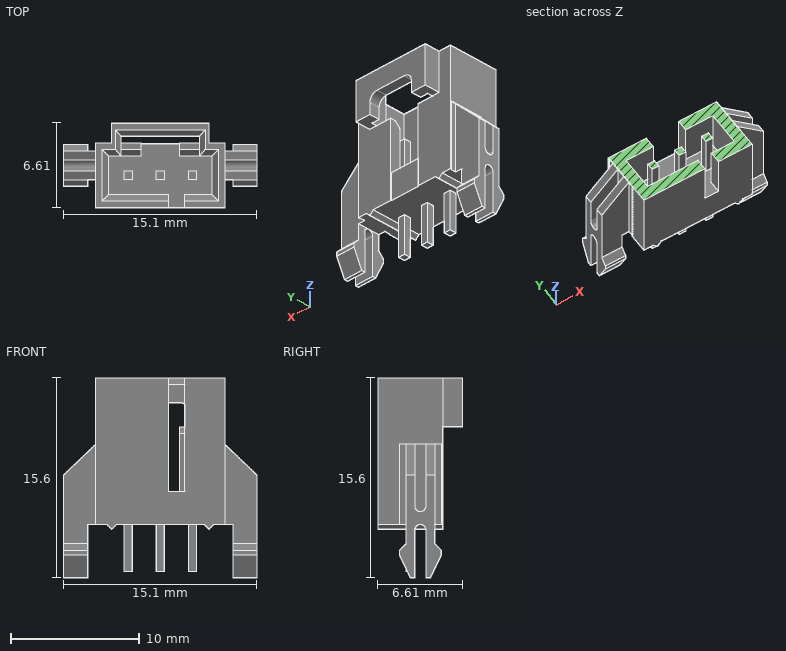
import cadquery as cq


body_width = 10.14
body_depth = 5.08
body_height = 11.45
wall = 1.03
rim_chamfer = 0.52
floor_top = 2.6
body_front = -2.53
body_back = body_front + body_depth
cavity_width = body_width - 2 * wall
cavity_front = body_front + wall
cavity_back = body_back - wall

hood_width = 7.62
hood_side_wall = 0.75
hood_side_bevel = 0.45
hood_overhang = 1.53
hood_bottom = 7.62
hood_back = body_back + hood_overhang
hood_inner_width = hood_width - 2 * hood_side_wall
hood_inner_back = hood_back - wall
window_width = 4.56
window_top = 9.51
window_radius = 0.78

front_slot_left = 0.65
front_slot_width = 1.25
back_slot_width = 3.0

recess_depth = 0.06

pin_count = 3
pin_pitch = 2.51
pin_size = 0.65
pin_bottom = -3.67
pin_top = 7.03

ridge_spacing = 7.59
ridge_height = 0.37

overall_width = 15.14
overall_height = 15.62
clip_center_y = 0.78
clip_thickness = 2.25
clip_top = 6.31
clip_shoulder = 3.86
clip_bottom = body_height - overall_height
clip_gap = 0.86
upper_gap_bottom = 1.02
leg_width = 1.9
barb_half_width = 1.64
barb_tip_half_width = 0.78
barb_start = -1.48
barb_shoulder = -2.01
barb_taper_start = -2.39


def block(x_min, x_max, y_min, y_max, z_min, z_max):
    """Box given by its limits along each axis."""
    return cq.Workplane("XY").box(
        x_max - x_min, y_max - y_min, z_max - z_min, centered=False
    ).translate((x_min, y_min, z_min))


def centered_block(width, y_min, y_max, z_min, z_max):
    """Box that is symmetric about X = 0."""
    return block(-width / 2, width / 2, y_min, y_max, z_min, z_max)


def rim_bevel(width, y_min, y_max, side_bevel):
    """Funnel that widens a rectangular opening towards the top rim."""
    center_y = (y_min + y_max) / 2
    depth = y_max - y_min
    return (
        cq.Workplane("XY", origin=(0, center_y, body_height - rim_chamfer))
        .rect(width, depth)
        .workplane(offset=rim_chamfer)
        .rect(width + 2 * side_bevel, depth + 2 * rim_chamfer)
        .loft(ruled=True)
    )


def make_shell():
    shell = centered_block(body_width, body_front, body_back, 0, body_height)
    hood = centered_block(hood_width, 0, hood_back, hood_bottom, body_height)
    return shell.union(hood)


def make_openings():
    cavity = centered_block(cavity_width, cavity_front, cavity_back, floor_top, body_height)
    cavity_bevel = rim_bevel(cavity_width, cavity_front, cavity_back, rim_chamfer)
    hood_cavity = centered_block(hood_inner_width, 0, hood_inner_back, hood_bottom, body_height)
    hood_bevel = rim_bevel(hood_inner_width, 0, hood_inner_back, hood_side_bevel)
    back_slot = centered_block(back_slot_width, 0, body_back, floor_top, body_height)
    front_slot = block(
        front_slot_left, front_slot_left + front_slot_width, body_front, 0, floor_top, body_height
    )
    openings = cavity.union(cavity_bevel).union(hood_cavity).union(hood_bevel)
    return openings.union(back_slot).union(front_slot).union(make_window())


def make_window():
    """Opening in the hood's back wall, rounded at its upper corners."""
    window = centered_block(window_width, hood_inner_back, hood_back, hood_bottom, window_top)
    return window.edges("|Y and >Z").fillet(window_radius)


def make_sill_bevel():
    """Cutter for the inner bevel on the back wall edges below the hood."""
    return (
        cq.Workplane("YZ")
        .moveTo(cavity_back, hood_bottom - rim_chamfer)
        .lineTo(cavity_back, hood_bottom)
        .lineTo(cavity_back + rim_chamfer, hood_bottom)
        .close()
        .extrude(hood_inner_width / 2, both=True)
    )


def make_back_recess():
    """Shallow recess in the back face, in line with the back slot."""
    return centered_block(back_slot_width, body_back - recess_depth, body_back, 0, hood_bottom)


def make_clip_recess():
    """Shallow recess around the root of the clip on the +X end."""
    return block(
        body_width / 2 - recess_depth,
        body_width / 2,
        clip_center_y - barb_half_width,
        clip_center_y + barb_half_width,
        0,
        clip_top,
    )


def make_ridge(center_x):
    return (
        cq.Workplane("XZ", origin=(center_x, body_back, 0))
        .polyline([(-ridge_height, 0), (0, -ridge_height), (ridge_height, 0)])
        .close()
        .extrude(body_depth)
    )


def make_pin(center_x):
    half = pin_size / 2
    return block(center_x - half, center_x + half, -half, half, pin_bottom, pin_top)


def make_clip():
    """Clip on the +X end: side outline crossed with the barbed end outline."""
    inner_x = body_width / 2 - recess_depth
    outer_x = overall_width / 2
    leg_x = outer_x - leg_width
    side_outline = (
        cq.Workplane("XZ")
        .moveTo(inner_x, 0)
        .lineTo(inner_x, clip_top)
        .lineTo(outer_x, clip_shoulder)
        .lineTo(outer_x, clip_bottom)
        .lineTo(leg_x, clip_bottom)
        .lineTo(leg_x, 0)
        .close()
        .extrude(body_depth, both=True)
    )
    right_half = [
        (clip_thickness / 2, clip_top),
        (clip_thickness / 2, barb_start),
        (barb_half_width, barb_shoulder),
        (barb_half_width, barb_taper_start),
        (barb_tip_half_width, clip_bottom),
    ]
    left_half = [(-y, z) for y, z in reversed(right_half)]
    end_plane = cq.Workplane("YZ", origin=(0, clip_center_y, 0))
    end_outline = end_plane.polyline(right_half + left_half).close().extrude(overall_width)

    radius = clip_gap / 2
    upper_gap = (
        end_plane.moveTo(radius, clip_top)
        .lineTo(radius, upper_gap_bottom + radius)
        .threePointArc((0, upper_gap_bottom), (-radius, upper_gap_bottom + radius))
        .lineTo(-radius, clip_top)
        .close()
        .extrude(overall_width)
    )
    lower_gap = (
        end_plane.moveTo(radius, clip_bottom)
        .lineTo(radius, -radius)
        .threePointArc((0, 0), (-radius, -radius))
        .lineTo(-radius, clip_bottom)
        .close()
        .extrude(overall_width)
    )
    return side_outline.intersect(end_outline).cut(upper_gap).cut(lower_gap)


result = make_shell().cut(make_openings()).cut(make_sill_bevel())
result = result.cut(make_back_recess())
clip_recess = make_clip_recess()
result = result.cut(clip_recess).cut(clip_recess.mirror("YZ"))

for side in (-1, 1):
    result = result.union(make_ridge(side * ridge_spacing / 2))

for index in range(pin_count):
    result = result.union(make_pin((index - (pin_count - 1) / 2) * pin_pitch))

clip = make_clip()
result = result.union(clip).union(clip.mirror("YZ"))